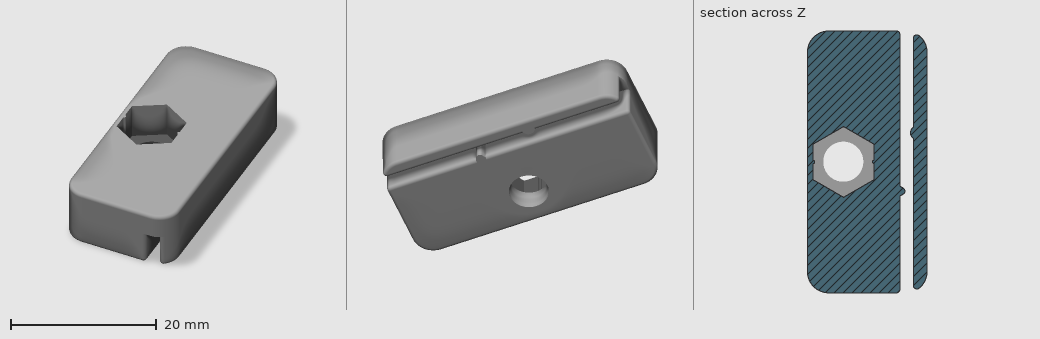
import cadquery as cq
import math

width = 16.5
length = 36.0
height = 8.5
corner_radius = 3.0
edge_radius = 0.5

bolt_x = -3.25
bolt_diameter = 5.5
nut_sides = 6
nut_flats = 8.35
nut_depth = 5.25
grip_rib_radius = 0.25

channel_left = 4.5
channel_right = 6.3
channel_height = 5.0
mouth_radius = 0.5

ramp_angle = math.radians(30)
left_tooth_y = -4.0
left_tooth_tip_x = 5.2
left_tooth_radius = 0.5
right_tooth_y = 4.0
right_tooth_tip_x = 5.9
right_tooth_radius = 0.9


def rounded_block():
    block = cq.Workplane("XY").box(width, length, height, centered=(True, True, False))
    return block.edges("|Z").fillet(corner_radius)


def cut_channel(body):
    """Cut the channel and round its upright mouth edges."""
    channel_width = channel_right - channel_left
    channel_x = (channel_left + channel_right) / 2
    channel = cq.Workplane("XY").box(channel_width, length, channel_height, centered=(True, True, False))
    body = body.cut(channel.translate((channel_x, 0, 0)))
    mouth_height = channel_height / 2
    arc_x = channel_right - (width / 2 - corner_radius)
    right_mouth_y = length / 2 - corner_radius + math.sqrt(corner_radius**2 - arc_x**2)
    mouth_points = []
    for side in (-1, 1):
        mouth_points.append((channel_left, side * length / 2, mouth_height))
        mouth_points.append((channel_right, side * right_mouth_y, mouth_height))
    for point in mouth_points:
        body = body.edges(cq.selectors.NearestToPointSelector(point)).fillet(mouth_radius)
    return body


def left_tooth():
    """Wedge on the left channel wall, with a round tip tangent to its ramps."""
    centre_x = left_tooth_tip_x - left_tooth_radius
    tangent_x = centre_x + left_tooth_radius * math.sin(ramp_angle)
    tangent_y = left_tooth_radius * math.cos(ramp_angle)
    root_y = tangent_y + (tangent_x - channel_left) * math.tan(ramp_angle)
    return (
        cq.Workplane("XY")
        .moveTo(channel_left, left_tooth_y - root_y)
        .lineTo(tangent_x, left_tooth_y - tangent_y)
        .threePointArc((left_tooth_tip_x, left_tooth_y), (tangent_x, left_tooth_y + tangent_y))
        .lineTo(channel_left, left_tooth_y + root_y)
        .lineTo(channel_left - edge_radius, left_tooth_y + root_y)
        .lineTo(channel_left - edge_radius, left_tooth_y - root_y)
        .close()
        .extrude(channel_height)
    )


def right_tooth():
    """Round rib, partly sunk in the right channel wall."""
    centre_x = right_tooth_tip_x + right_tooth_radius
    return (
        cq.Workplane("XY")
        .center(centre_x, right_tooth_y)
        .circle(right_tooth_radius)
        .extrude(channel_height)
    )


def nut_pocket():
    """Hexagonal pocket, less the two small ribs that grip the nut."""
    floor = cq.Workplane("XY", origin=(bolt_x, 0, height - nut_depth))
    nut_corners = nut_flats / math.cos(math.pi / nut_sides)
    hexagon = floor.polygon(nut_sides, nut_corners).extrude(nut_depth)
    hexagon = hexagon.rotate((bolt_x, 0, 0), (bolt_x, 0, 1), 180 / nut_sides)
    rib_places = [(-nut_flats / 2, 0), (nut_flats / 2, 0)]
    ribs = floor.pushPoints(rib_places).circle(grip_rib_radius).extrude(nut_depth)
    return hexagon.cut(ribs)


def bolt_hole():
    return cq.Workplane("XY").center(bolt_x, 0).circle(bolt_diameter / 2).extrude(height)


body = cut_channel(rounded_block())
body = body.faces("<Z or >Z").edges().fillet(edge_radius)
body = body.union(left_tooth()).union(right_tooth())
result = body.cut(nut_pocket()).cut(bolt_hole())